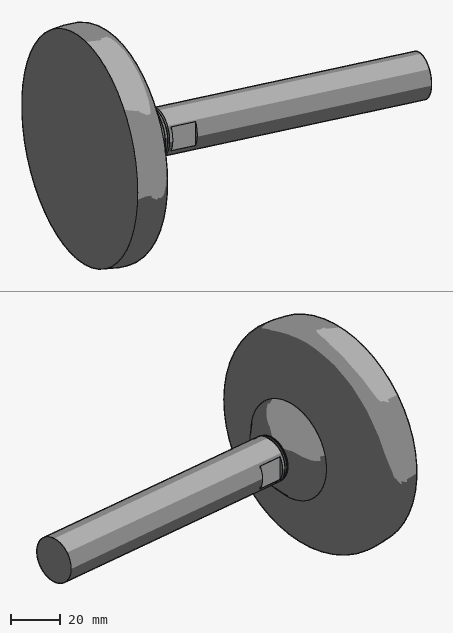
import cadquery as cq
import math

TOTAL_LENGTH = 155.0

FOOT_RADIUS = 49.99
SOLE_RADIUS = 49.3
RIM_START = 6.0
RIM_END = 9.0
SHOULDER_RADIUS = 44.3
SHOULDER_HEIGHT = 16.0
HUB_RADIUS = 21.9
HUB_HEIGHT = 24.0
DOME_RADIUS = 20.3
DOME_START = 25.4
DOME_TOP = 33.8
DOME_SPHERE_RADIUS = 25.1

STEM_RADIUS = 10.0
STEM_END_RADIUS = 9.3
END_TAPER_LENGTH = 1.0
GROOVE_WIDTH = 1.0
GROOVE_RADIUS = 7.5
LIP_RADIUS = 9.3
LIP_LENGTH = 0.5
FLAT_START = 37.0
FLAT_LENGTH = 11.2
ACROSS_FLATS = 17.0


def make_foot():
    """Turned foot: tapered sole, rounded rim, sloping shoulder and spherical dome."""
    sphere_centre = DOME_START - math.sqrt(DOME_SPHERE_RADIUS**2 - DOME_RADIUS**2)
    dome_top_radius = math.sqrt(DOME_SPHERE_RADIUS**2 - (DOME_TOP - sphere_centre)**2)
    dome_mid_radius = (DOME_RADIUS + dome_top_radius) / 2
    dome_mid_height = sphere_centre + math.sqrt(DOME_SPHERE_RADIUS**2 - dome_mid_radius**2)
    return (
        cq.Workplane("XY")
        .lineTo(SOLE_RADIUS, 0)
        .lineTo(FOOT_RADIUS, RIM_START)
        .lineTo(FOOT_RADIUS, RIM_END)
        .tangentArcPoint((SHOULDER_RADIUS, SHOULDER_HEIGHT), relative=False)
        .lineTo(HUB_RADIUS, HUB_HEIGHT)
        .lineTo(DOME_RADIUS, DOME_START)
        .threePointArc((dome_mid_radius, dome_mid_height), (dome_top_radius, DOME_TOP))
        .lineTo(0, DOME_TOP)
        .close()
        .revolve(360, (0, 0), (0, 1))
    )


def make_stem():
    """Round stem standing on the dome, with a tapered end, a bevelled groove and two wrench flats."""
    taper_end = DOME_TOP + END_TAPER_LENGTH
    groove_end = taper_end + GROOVE_WIDTH
    stem = (
        cq.Workplane("XY")
        .moveTo(0, DOME_TOP)
        .lineTo(STEM_END_RADIUS, DOME_TOP)
        .lineTo(STEM_RADIUS, taper_end)
        .lineTo(GROOVE_RADIUS, taper_end)
        .lineTo(GROOVE_RADIUS, groove_end - LIP_LENGTH)
        .lineTo(LIP_RADIUS, groove_end - LIP_LENGTH)
        .lineTo(STEM_RADIUS, groove_end)
        .lineTo(STEM_RADIUS, TOTAL_LENGTH)
        .lineTo(0, TOTAL_LENGTH)
        .close()
        .revolve(360, (0, 0), (0, 1))
    )
    for side in (-1, 1):
        cutter = cq.Workplane("XY").box(STEM_RADIUS, FLAT_LENGTH, 2 * STEM_RADIUS)
        cutter_x = side * (ACROSS_FLATS + STEM_RADIUS) / 2
        stem = stem.cut(cutter.translate((cutter_x, FLAT_START + FLAT_LENGTH / 2, 0)))
    return stem


foot = make_foot()
stem = make_stem()

result = cq.Compound.makeCompound([foot.val(), stem.val()])